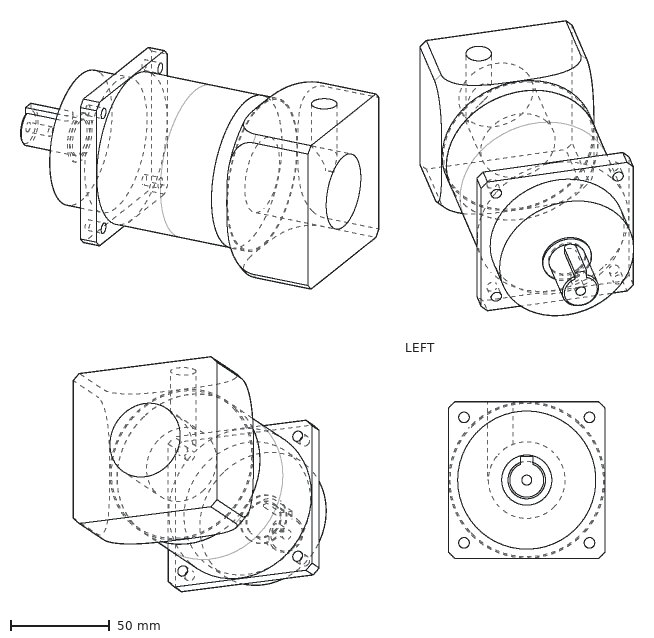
import cadquery as cq
import math

overall_length = 179.0
square_size = 79.5
corner_diameter = 107.8

collar_start = 28.6
pilot_start = 29.9
flange_start = 49.8
flange_end = 58.9
barrel_joint = 95.0
barrel_end = 124.0
adapter_block_start = 132.8

shaft_diameter = 19.0
shaft_chamfer = 0.9
key_length = 25.0
key_width = 6.0
key_top = 12.0
centre_hole_diameter = 5.0
centre_hole_depth = 12.5
drill_point_angle = 118.0

collar_diameter = 25.5
pilot_diameter = 70.0
barrel_diameter = 79.0
flange_hole_diameter = 5.4
flange_hole_spacing = 63.5

adapter_neck_diameter = 79.1
adapter_fillet = 15.0
access_hole_diameter = 12.9
access_hole_x = 161.3
access_hole_y = 13.5

hub_diameter = 38.8


def disc(diameter, start, end):
    """Cylinder on the gearbox axis between two stations."""
    return cq.Workplane("YZ", origin=(start, 0, 0)).circle(diameter / 2).extrude(end - start)


def square_block(start, end):
    """Square block with turned corners, on the gearbox axis between two stations."""
    block = cq.Workplane("YZ", origin=(start, 0, 0)).rect(square_size, square_size).extrude(end - start)
    return block.intersect(disc(corner_diameter, start, end))


def make_key():
    """Raised key, flush with the shaft tip and rounded at its inner end."""
    straight_length = key_length - key_width / 2
    return (
        cq.Workplane("XY")
        .moveTo(0, -key_width / 2)
        .lineTo(straight_length, -key_width / 2)
        .threePointArc((key_length, 0), (straight_length, key_width / 2))
        .lineTo(0, key_width / 2)
        .close()
        .extrude(key_top)
    )


def make_centre_hole():
    """Drilled hole in the shaft tip with a conical bottom."""
    radius = centre_hole_diameter / 2
    point_length = radius / math.tan(math.radians(drill_point_angle / 2))
    return (
        cq.Workplane("XZ")
        .lineTo(0, radius)
        .lineTo(centre_hole_depth, radius)
        .lineTo(centre_hole_depth + point_length, 0)
        .close()
        .revolve(360, (0, 0, 0), (1, 0, 0))
    )


def make_output_shaft():
    """Shaft with its key, ending on the front face of the pilot."""
    shaft = disc(shaft_diameter, 0, pilot_start).faces("<X").chamfer(shaft_chamfer)
    return shaft.union(make_key()).cut(make_centre_hole())


def make_flange():
    """Square mounting flange with four through holes."""
    return (
        square_block(flange_start, flange_end)
        .faces("<X")
        .workplane(origin=(flange_start, 0, 0))
        .rect(flange_hole_spacing, flange_hole_spacing, forConstruction=True)
        .vertices()
        .hole(flange_hole_diameter)
    )


def make_housing():
    """Collar around the shaft, pilot, flange and barrel in one piece."""
    collar = disc(collar_diameter, collar_start, pilot_start)
    shaft_bore = disc(shaft_diameter, collar_start, pilot_start)
    return (
        make_flange()
        .union(disc(pilot_diameter, pilot_start, flange_start))
        .union(collar.cut(shaft_bore))
        .union(disc(barrel_diameter, flange_end, barrel_joint))
        .union(disc(barrel_diameter, barrel_joint, barrel_end), clean=False)
    )


def make_clamp_hub():
    """Round hub that fills the bore of the motor adapter."""
    return disc(hub_diameter, adapter_block_start, overall_length)


def make_motor_adapter():
    """Square block with a rounded turned front, a round neck and a blind bore for the hub."""
    rounded_front = (
        disc(corner_diameter, adapter_block_start, overall_length).faces("<X").edges().fillet(adapter_fillet)
    )
    access_hole = (
        cq.Workplane("XY", origin=(access_hole_x, access_hole_y, 0))
        .circle(access_hole_diameter / 2)
        .extrude(square_size / 2)
    )
    return (
        square_block(adapter_block_start, overall_length)
        .intersect(rounded_front)
        .union(disc(adapter_neck_diameter, barrel_end, adapter_block_start))
        .cut(access_hole)
        .cut(make_clamp_hub())
    )


output_shaft = make_output_shaft()
housing = make_housing()
motor_adapter = make_motor_adapter()
clamp_hub = make_clamp_hub()

result = cq.Compound.makeCompound(
    [body.solids().val() for body in (output_shaft, housing, motor_adapter, clamp_hub)]
)